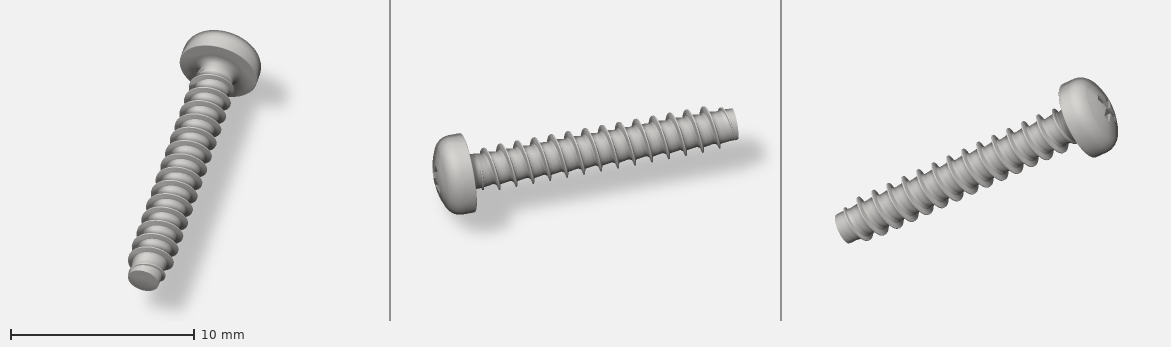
import cadquery as cq
import math


head_radius = 2.2
head_height = 1.886
rim_height = 0.68
crown_radius = 0.89
bearing_edge_radius = 0.05

wing_width = 0.49
wing_reach = 0.92
recess_depth = 0.8

shank_length = 14.97
point_height = 0.03
neck_radius = 0.96
neck_fillet = 0.4
neck_end = -0.62
taper_end = -1.0
core_radius = 0.865

pitch = 0.95
thread_radius = 1.25
thread_start = -0.6
start_angle = math.radians(129)
run_in_radius = 1.03
run_in_turns = 1.1
ease_turns = 0.5
run_out_start = 13.95
run_out_turns = 1.3
end_share = 0.05
crest_half_width = 0.035
root_radius = 0.945
flank_half_angle = math.radians(15)
flare_reach = 0.26
ramp_reach = 0.68
thread_bury = 0.1
valley_depth = 0.005
clearance = 0.01
samples_per_turn = 16


def revolved(outline):
    """Solid of revolution about the Y axis from an open half-profile that starts and ends on it."""
    return outline.close().revolve(360, (0, 0), (0, 1))


def make_head():
    """Cylindrical rim, crown arc and a dome tangent to it."""
    crown_x = head_radius - crown_radius
    dome_drop = head_height - rim_height
    dome_radius = (crown_x**2 + dome_drop**2 - crown_radius**2) / (2 * (dome_drop - crown_radius))
    dome_y = head_height - dome_radius
    slope = math.asin(crown_x / (dome_radius - crown_radius))

    def dome_point(angle):
        return (dome_radius * math.sin(angle), dome_y + dome_radius * math.cos(angle))

    crown_angle = (slope + math.pi / 2) / 2
    crown_middle = (
        crown_x + crown_radius * math.sin(crown_angle),
        rim_height + crown_radius * math.cos(crown_angle),
    )
    outline = (
        cq.Workplane("ZY")
        .lineTo(head_radius, 0)
        .lineTo(head_radius, rim_height)
        .threePointArc(crown_middle, dome_point(slope))
        .threePointArc(dome_point(slope / 2), (0, head_height))
    )
    return revolved(outline).faces("<Y").edges().fillet(bearing_edge_radius)


def make_recess():
    """Cross of two equal wings sunk into the dome."""
    wing = cq.Workplane("XY").box(2 * wing_reach, 2 * recess_depth, wing_width)
    cross = wing.union(wing.rotate((0, 0, 0), (0, 1, 0), 90))
    return cross.translate((0, head_height, 0))


def make_core():
    """Neck with its fillet under the head, the core and the shallow conical point."""
    foot_radius = neck_radius + neck_fillet
    arc_shift = neck_fillet * math.sqrt(0.5)
    outline = (
        cq.Workplane("ZY")
        .moveTo(0, rim_height / 2)
        .lineTo(foot_radius, rim_height / 2)
        .lineTo(foot_radius, 0)
        .threePointArc((foot_radius - arc_shift, arc_shift - neck_fillet), (neck_radius, -neck_fillet))
        .lineTo(neck_radius, neck_end)
        .lineTo(core_radius, taper_end)
        .lineTo(core_radius, -shank_length)
        .lineTo(0, -shank_length - point_height)
    )
    return revolved(outline)


def thread_drop(turn):
    """Axial travel of the crest: it starts flat and eases into the full pitch."""
    if turn < ease_turns:
        return pitch * turn**2 / (2 * ease_turns)
    return pitch * (turn - ease_turns / 2)


def run_out_share(turn):
    """Share of the thread height that is left: 1 along the screw, almost nothing at the tip end."""
    faded = max(0, (turn - run_out_start) / run_out_turns)
    return 1 - (1 - end_share) * faded


def tip_side_reach(turn):
    """Axial reach of the ramp, kept clear of the next turn."""
    next_turn_gap = thread_drop(turn + 1) - thread_drop(turn) - flare_reach
    return min(ramp_reach, next_turn_gap - clearance)


def thread_section(turn):
    """Thread corners as (radius, axial offset), from the head side to the tip side."""
    reach = tip_side_reach(turn)
    growth = min(1, turn / run_in_turns)
    share = run_out_share(turn)
    bottom = core_radius - thread_bury
    valley = core_radius - valley_depth
    crest = run_in_radius + growth * (thread_radius - run_in_radius)
    crest = valley + share * (crest - valley)
    root = valley + share * (root_radius - valley)
    root_half_width = crest_half_width + (crest - root) * math.tan(flank_half_angle)
    return [
        (bottom, flare_reach),
        (valley, flare_reach),
        (root, root_half_width),
        (crest, crest_half_width),
        (crest, -crest_half_width),
        (root, -root_half_width),
        (valley, -reach),
        (bottom, -reach),
    ]


def thread_corners(turn):
    """Corners of the thread section placed around the axis."""
    angle = start_angle + 2 * math.pi * turn
    crest_y = thread_start - thread_drop(turn)
    return [
        cq.Vector(radius * math.cos(angle), crest_y + offset, radius * math.sin(angle))
        for radius, offset in thread_section(turn)
    ]


def make_flanks(first_turn, last_turn):
    """Ruled faces between neighbouring corner curves along one stretch of the thread."""
    steps = math.ceil((last_turn - first_turn) * samples_per_turn)
    turns = [first_turn + (last_turn - first_turn) * step / steps for step in range(steps + 1)]
    stations = [thread_corners(turn) for turn in turns]
    rails = [cq.Edge.makeSpline(list(points)) for points in zip(*stations)]
    next_rails = rails[1:] + rails[:1]
    return [cq.Face.makeRuledSurface(rail, other) for rail, other in zip(rails, next_rails)]


def make_thread():
    """Solid ridge made of stretches of at most one turn, closed by a flat section at both ends."""
    last_turn = run_out_start + run_out_turns
    full_turns = run_out_start - run_in_turns
    stretches = math.ceil(full_turns)
    stops = [run_in_turns + full_turns * count / stretches for count in range(stretches + 1)]
    stops = [0, ease_turns] + stops + [(run_out_start + last_turn) / 2, last_turn]
    faces = []
    for first, last in zip(stops, stops[1:]):
        faces.extend(make_flanks(first, last))
    for turn in (0, last_turn):
        faces.append(cq.Face.makeFromWires(cq.Wire.makePolygon(thread_corners(turn), close=True)))
    ridge = cq.Workplane(cq.Solid.makeSolid(cq.Shell.makeShell(faces)))
    beyond_shank = (
        cq.Workplane("XZ", origin=(0, -shank_length, 0))
        .circle(head_radius)
        .extrude(ramp_reach + pitch)
    )
    return ridge.cut(beyond_shank)


screw = make_head().cut(make_recess()).union(make_core())
result = screw.union(make_thread())